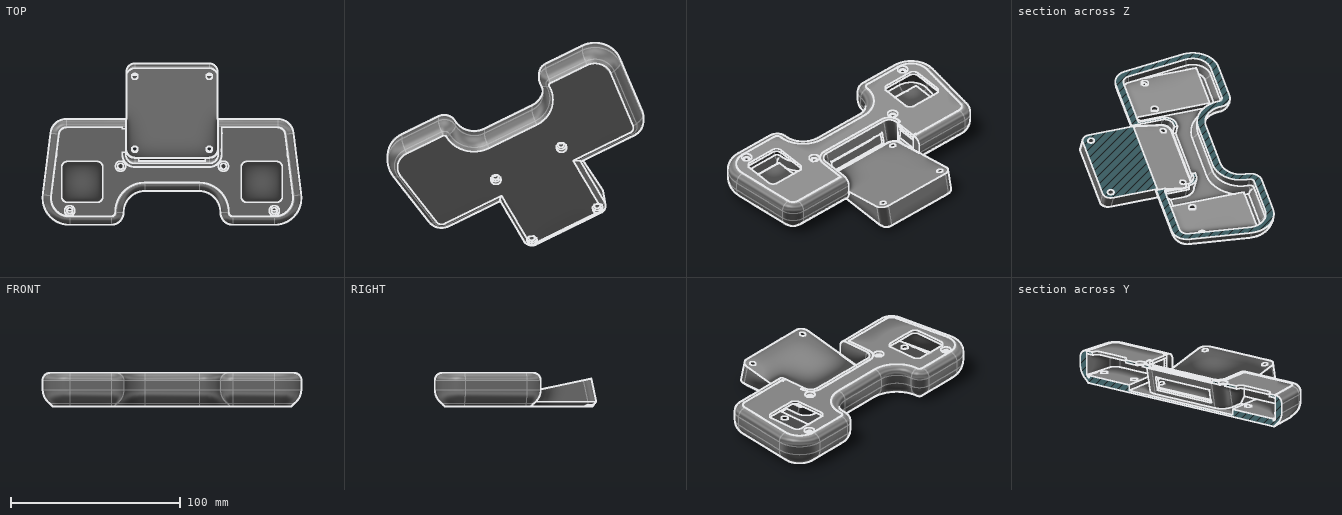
import cadquery as cq
import math

FRONT_Y = -47.73
REAR_Y = 14.95
HALF_WIDTH = 76.525
HEIGHT = 20.0
FRONT_CORNER_R = 16.0
REAR_CORNER_R = 9.5
REAR_CORNER_X = 62.4
NOTCH_R = 12.5
NOTCH_TIP_R = 7.5
SAME_POINT = 1e-6
NOTCH_FLAT_HALF = 16.0

TOP_FILLET = 4.5
BELLY_R = 10.0
FOOT_CHAMFER = 2.0
CUTTER_MARGIN = 1.0

RIM = 5.0
LID_THICKNESS = 2.0
LID_GAP = 0.1
FLOOR = 1.5
CAVITY_CHAMFER = 3.5
BEVEL_ANGLE = 45.0
LID_Z = HEIGHT - LID_THICKNESS

WINDOW = 24.3
WINDOW_R = 3.5
WINDOW_X = 53.0
WINDOW_Y = -22.3
SCREW_POINTS = [(60.4, -39.3), (30.4, -13.0)]
SCREW_D = 3.5
SCREW_HEAD_D = 6.0
SCREW_HEAD_ANGLE = 90.0

PAD_HALF_WIDTH = 15.0
PAD_HEIGHT = 3.5
PAD_FRONT_Y = -36.0
PAD_HOLE_D = 4.2
PAD_HOLE_DX = 11.0
PAD_HOLE_Y = -3.3

TILT = 12.0
PLATFORM = 54.0
PLATFORM_R = 5.0
PLATFORM_CHAMFER = 3.0
PLATFORM_CENTRE = (0, 18.41, 11.0)
RECESS_GAP = 0.3
RECESS_DROP = 0.5
RECESS_WALL = 2.0
RECESS = PLATFORM + 2 * RECESS_GAP
RECESS_OUTSIDE = RECESS + 2 * RECESS_WALL
MOUNT_PITCH = 44.0
MOUNT_D = 3.5
MOUNT_HEAD_D = 6.0
MOUNT_HEAD_DEPTH = 3.0
REACH = 40.0
GROUND_SIZE = 400.0

SLOT_Y = (-4.9, 9.2)
SLOT_Z = 7.0
PASSAGE_WIDTH = 39.5
PASSAGE_TOP = 13.0
PASSAGE_SLOPE = 25.0


def on_arc(centre, radius, angle):
    return (centre[0] + radius * math.cos(angle), centre[1] + radius * math.sin(angle))


def housing_outline(z):
    """Closed outline of the housing, symmetric about X = 0, starting at the rear middle."""
    front = (HALF_WIDTH - FRONT_CORNER_R, FRONT_Y + FRONT_CORNER_R)
    rear = (REAR_CORNER_X, REAR_Y - REAR_CORNER_R)
    tip = (NOTCH_FLAT_HALF + NOTCH_R + NOTCH_TIP_R, FRONT_Y + NOTCH_TIP_R)
    notch = (NOTCH_FLAT_HALF, tip[1])

    dx, dy = rear[0] - front[0], rear[1] - front[1]
    side = math.atan2(dy, dx) - math.acos((FRONT_CORNER_R - REAR_CORNER_R) / math.hypot(dx, dy))
    up, right, down, left = math.pi / 2, 0.0, -math.pi / 2, math.pi

    arcs = [
        (rear, REAR_CORNER_R, up, side),
        (front, FRONT_CORNER_R, side, down),
        (tip, NOTCH_TIP_R, down + 2 * math.pi, left),
        (notch, NOTCH_R, right, up),
    ]
    half = [[on_arc(c, r, a) for a in (a0, (a0 + a1) / 2, a1)] for c, r, a0, a1 in arcs]
    mirrored = [[(-x, y) for x, y in reversed(arc)] for arc in reversed(half)]

    last = (0, REAR_Y)
    outline = cq.Workplane("XY", origin=(0, 0, z)).moveTo(*last)
    for start, middle, end in half + mirrored:
        if math.dist(last, start) > SAME_POINT:
            outline = outline.lineTo(*start)
        outline = outline.threePointArc(middle, end)
        last = end
    return outline.close()


def belly_cutter():
    """Ring that rounds and bevels the lower outer edge of the housing."""
    belly_inset = BELLY_R - math.sqrt(BELLY_R**2 - (BELLY_R - FOOT_CHAMFER) ** 2)
    middle_angle = -math.asin((BELLY_R - FOOT_CHAMFER) / BELLY_R) / 2
    belly_middle = on_arc((REAR_Y - BELLY_R, BELLY_R), BELLY_R, middle_angle)
    foot_y = REAR_Y - belly_inset - FOOT_CHAMFER
    outside_y = REAR_Y + CUTTER_MARGIN
    profile = (
        cq.Workplane("YZ")
        .moveTo(REAR_Y, BELLY_R)
        .threePointArc(belly_middle, (REAR_Y - belly_inset, FOOT_CHAMFER))
        .lineTo(foot_y, 0)
        .lineTo(foot_y, -CUTTER_MARGIN)
        .lineTo(outside_y, -CUTTER_MARGIN)
        .lineTo(outside_y, BELLY_R)
        .close()
    )
    return profile.sweep(housing_outline(BELLY_R))


def tilted_plane():
    return cq.Workplane(cq.Plane(PLATFORM_CENTRE)).transformed(rotate=(TILT, 0, 0))


def tilted_block(width, above, below):
    """Rounded square prism normal to the platform, from below to above its top plane."""
    radius = PLATFORM_R + (width - PLATFORM) / 2
    return (
        tilted_plane().workplane(offset=-below)
        .rect(width, width).extrude(above + below)
        .edges(cq.selectors.ParallelDirSelector(tilted_plane().plane.zDir)).fillet(radius)
    )


def platform_body():
    """Tilted block standing on Z = 0, with its bottom edge chamfered."""
    ground = cq.Workplane("XY").box(
        GROUND_SIZE, GROUND_SIZE, GROUND_SIZE, centered=(True, True, False)
    )
    block = tilted_block(PLATFORM, 0, REACH).intersect(ground)
    return block.faces("<Z").edges().chamfer(PLATFORM_CHAMFER)


def slot_block(bottom, top):
    """Block through the left recess wall, reaching a little into the cavity."""
    length = RECESS_WALL + CUTTER_MARGIN
    block = cq.Workplane("XY").box(length, SLOT_Y[1] - SLOT_Y[0], top - bottom, centered=False)
    return block.translate((-RECESS / 2 - length, SLOT_Y[0], bottom))


def front_passage():
    """Opening through the front recess wall, its floor sloping down from the platform edge."""
    tilt = math.radians(TILT)
    edge_y = PLATFORM_CENTRE[1] - PLATFORM / 2 * math.cos(tilt)
    edge_z = PLATFORM_CENTRE[2] - PLATFORM / 2 * math.sin(tilt)
    length = 2 * RECESS_WALL
    far_y = edge_y - length
    far_z = edge_z - length * math.tan(math.radians(PASSAGE_SLOPE))
    return (
        cq.Workplane("YZ", origin=(-PASSAGE_WIDTH / 2, 0, 0))
        .polyline([(edge_y, edge_z), (far_y, far_z), (far_y, PASSAGE_TOP), (edge_y, PASSAGE_TOP)])
        .close().extrude(PASSAGE_WIDTH)
    )


def mount_holes():
    """Screw holes normal to the platform, with head recesses in the underside."""
    centres = tilted_plane().rect(MOUNT_PITCH, MOUNT_PITCH, forConstruction=True).vertices()
    holes = centres.circle(MOUNT_D / 2).extrude(-REACH)
    heads = centres.circle(MOUNT_HEAD_D / 2).extrude(-REACH)
    underside = cq.Workplane("XY").box(
        2 * HALF_WIDTH, 2 * HALF_WIDTH, MOUNT_HEAD_DEPTH, centered=(True, True, False)
    )
    return holes.union(heads.intersect(underside))


def floor_pad(side):
    """Raised strip of the cavity floor below one window, with two blind holes."""
    pad = cq.Workplane("XY").box(
        2 * PAD_HALF_WIDTH, REAR_Y - PAD_FRONT_Y, PAD_HEIGHT, centered=(True, False, False)
    ).translate((side * WINDOW_X, PAD_FRONT_Y, FLOOR))
    holes = (
        cq.Workplane("XY", origin=(side * WINDOW_X, PAD_HOLE_Y, FLOOR))
        .pushPoints([(-PAD_HOLE_DX, 0), (PAD_HOLE_DX, 0)])
        .circle(PAD_HOLE_D / 2).extrude(PAD_HEIGHT)
    )
    return pad.cut(holes)


def cavity_block():
    """Space inside the housing, around the platform recess and above the floor pads."""
    bevel_top = FLOOR + CAVITY_CHAMFER
    walls = housing_outline(bevel_top).offset2D(-RIM).extrude(HEIGHT - bevel_top)
    bevel = housing_outline(bevel_top).offset2D(-RIM).extrude(-CAVITY_CHAMFER, taper=BEVEL_ANGLE)
    cavity = walls.union(bevel).cut(tilted_block(RECESS_OUTSIDE, REACH, REACH))
    for side in (-1, 1):
        cavity = cavity.cut(floor_pad(side))
    return cavity


def make_housing():
    body = housing_outline(0).extrude(HEIGHT).faces(">Z").edges().fillet(TOP_FILLET)
    body = body.cut(belly_cutter())
    cavity = cavity_block()
    body = body.cut(cavity)
    body = body.cut(tilted_block(RECESS, REACH, RECESS_DROP))
    body = body.cut(slot_block(SLOT_Z, HEIGHT))
    body = body.union(platform_body().cut(cavity))
    return body.cut(front_passage()).cut(mount_holes())


def make_lid():
    lid = housing_outline(LID_Z).offset2D(-RIM - LID_GAP).extrude(LID_THICKNESS)
    lid = lid.cut(tilted_block(RECESS_OUTSIDE + 2 * LID_GAP, REACH, REACH))
    lid = lid.union(slot_block(LID_Z, HEIGHT))
    for side in (-1, 1):
        window = (
            cq.Workplane("XY", origin=(side * WINDOW_X, WINDOW_Y, LID_Z))
            .rect(WINDOW, WINDOW).extrude(LID_THICKNESS).edges("|Z").fillet(WINDOW_R)
        )
        lid = lid.cut(window)
        points = [(side * x, y) for x, y in SCREW_POINTS]
        lid = lid.faces(">Z").workplane(origin=(0, 0, HEIGHT)).pushPoints(points)
        lid = lid.cskHole(SCREW_D, SCREW_HEAD_D, SCREW_HEAD_ANGLE)
    return lid


housing = make_housing()
lid = make_lid()
result = cq.Compound.makeCompound([housing.val(), lid.val()])